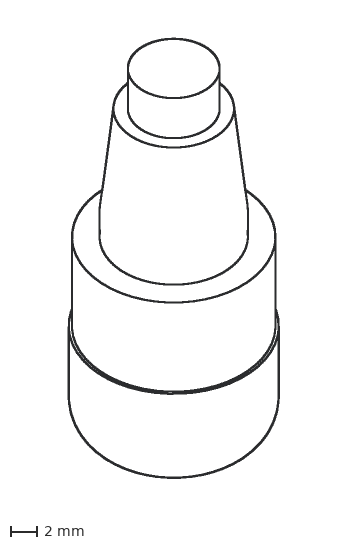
import cadquery as cq

base_diameter = 16.0
base_height = 10.0
bottom_rounding = 3.0
barrel_diameter = 15.5
barrel_top = 18.9

collar_diameter = 11.3
collar_top = 21.5
neck_top_diameter = 9.2
neck_top = 31.7
tip_diameter = 7.0
overall_height = 35.7


def cylinder(diameter, bottom, top):
    """Upright cylinder on the Z axis between two heights."""
    return cq.Workplane("XY").workplane(offset=bottom).circle(diameter / 2).extrude(top - bottom)


def make_sleeve():
    base = cylinder(base_diameter, 0, base_height).faces("<Z").edges().fillet(bottom_rounding)
    barrel = cylinder(barrel_diameter, base_height, barrel_top)
    return base.union(barrel)


def make_plug():
    """Stepped and tapered plug standing on the flat top of the sleeve."""
    profile = [
        (0, barrel_top),
        (collar_diameter / 2, barrel_top),
        (collar_diameter / 2, collar_top),
        (neck_top_diameter / 2, neck_top),
        (tip_diameter / 2, neck_top),
        (tip_diameter / 2, overall_height),
        (0, overall_height),
    ]
    return cq.Workplane("XZ").polyline(profile).close().revolve(360, (0, 0), (0, 1))


sleeve = make_sleeve()
plug = make_plug()

result = cq.Compound.makeCompound([sleeve.val(), plug.val()])